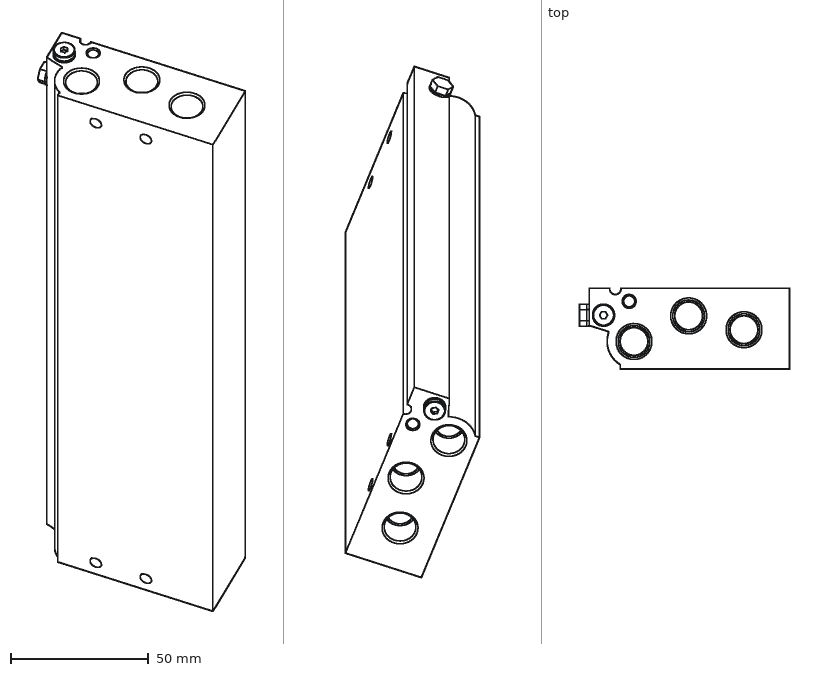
import cadquery as cq
import math

TOTAL_HEIGHT = 251.3

HOUSING_LENGTH = 73.0
HOUSING_DEPTH = 29.5
HOUSING_HEIGHT = 246.0
HALF_HEIGHT = HOUSING_HEIGHT / 2
LEFT_FACE_FRONT_Y = 15.8
FLANK_END_Y = 13.5
FRONT_STEP_X = 11.3

PORT_CENTRES = [(16.3, 10.0), (36.2, 19.4), (56.3, 14.3)]
PORT_DIAMETER = 10.0
PORT_BORE_DIAMETER = 11.5
PORT_MOUTH_DIAMETER = 13.0
PORT_BORE_DEPTH = 12.5

NOSE_X, NOSE_Y = PORT_CENTRES[0]
NOSE_RADIUS = 9.8

SIDE_CHANNEL_CENTRE = (14.5, 24.6)
SIDE_CHANNEL_DIAMETER = 4.0
SIDE_CHANNEL_MOUTH_DIAMETER = 5.0

GROOVE_X = 9.5
GROOVE_DIAMETER = 4.0
GROOVE_DEPTH = 2.3

MOUNT_X_POSITIONS = [26.5, 46.2]
MOUNT_DIAMETER = 4.5
MOUNT_TOP_DISTANCE = 8.3
MOUNT_BOTTOM_DISTANCE = 6.0

COLLAR_DIAMETER = 8.0
COLLAR_HEIGHT = 0.8

END_PLUG_CENTRE = (5.3, 19.5)
END_PLUG_HEIGHT = (TOTAL_HEIGHT - HOUSING_HEIGHT) / 2
END_PLUG_HEAD_DIAMETER = 7.8
END_PLUG_CHAMFER = 0.3
SOCKET_ACROSS_FLATS = 2.5
SOCKET_DEPTH = 1.5

SIDE_PLUG_ACROSS_FLATS = 7.0
SIDE_PLUG_HEIGHT = 3.5
SIDE_PLUG_TOP_DISTANCE = 12.8


def across_corners(across_flats):
    """Corner-to-corner size of a regular hexagon."""
    return across_flats / math.cos(math.pi / 6)


def make_block():
    """Housing profile extruded along Z."""
    flank_end_x = NOSE_X - math.sqrt(NOSE_RADIUS**2 - (FLANK_END_Y - NOSE_Y) ** 2)
    step_y = NOSE_Y - math.sqrt(NOSE_RADIUS**2 - (FRONT_STEP_X - NOSE_X) ** 2)
    return (
        cq.Workplane("XY", origin=(0, 0, -HALF_HEIGHT))
        .moveTo(0, HOUSING_DEPTH)
        .lineTo(0, LEFT_FACE_FRONT_Y)
        .lineTo(flank_end_x, FLANK_END_Y)
        .threePointArc((NOSE_X - NOSE_RADIUS, NOSE_Y), (FRONT_STEP_X, step_y))
        .lineTo(FRONT_STEP_X, 0)
        .lineTo(HOUSING_LENGTH, 0)
        .lineTo(HOUSING_LENGTH, HOUSING_DEPTH)
        .close()
        .extrude(HOUSING_HEIGHT)
    )


def vertical_cylinder(centre, diameter):
    """Cylinder over the full housing height."""
    origin = (*centre, -HALF_HEIGHT)
    return cq.Workplane("XY", origin=origin).circle(diameter / 2).extrude(HOUSING_HEIGHT)


def mouth_pair(centre, diameter, mouth_diameter, depth):
    """Bores of the given depth at both ends of the housing, with 45-degree mouths."""
    radius = diameter / 2
    mouth_radius = mouth_diameter / 2
    chamfer = mouth_radius - radius
    top = (
        cq.Workplane("XZ")
        .moveTo(0, HALF_HEIGHT)
        .lineTo(mouth_radius, HALF_HEIGHT)
        .lineTo(radius, HALF_HEIGHT - chamfer)
        .lineTo(radius, HALF_HEIGHT - depth)
        .lineTo(0, HALF_HEIGHT - depth)
        .close()
        .revolve(360, (0, 0), (0, 1))
        .translate((*centre, 0))
    )
    return top.union(top.mirror("XY"))


def make_mount_holes():
    """Two holes near each end, running along Y."""
    heights = [HALF_HEIGHT - MOUNT_TOP_DISTANCE, MOUNT_BOTTOM_DISTANCE - HALF_HEIGHT]
    points = [(x, z) for x in MOUNT_X_POSITIONS for z in heights]
    return cq.Workplane("XZ").pushPoints(points).circle(MOUNT_DIAMETER / 2).extrude(-HOUSING_DEPTH)


def make_housing():
    housing = make_block()
    for centre in PORT_CENTRES:
        housing = housing.cut(vertical_cylinder(centre, PORT_DIAMETER))
        housing = housing.cut(
            mouth_pair(centre, PORT_BORE_DIAMETER, PORT_MOUTH_DIAMETER, PORT_BORE_DEPTH)
        )
    housing = housing.cut(
        mouth_pair(SIDE_CHANNEL_CENTRE, SIDE_CHANNEL_DIAMETER, SIDE_CHANNEL_MOUTH_DIAMETER, HALF_HEIGHT)
    )
    groove_centre = (GROOVE_X, HOUSING_DEPTH - GROOVE_DEPTH + GROOVE_DIAMETER / 2)
    housing = housing.cut(vertical_cylinder(groove_centre, GROOVE_DIAMETER))
    return housing.cut(make_mount_holes())


def make_end_plug(end):
    """Socket plug standing on the top face (end = 1) or hanging from the bottom face (end = -1)."""
    plug = (
        cq.Workplane("XY", origin=(*END_PLUG_CENTRE, HALF_HEIGHT))
        .circle(COLLAR_DIAMETER / 2)
        .extrude(COLLAR_HEIGHT)
        .faces(">Z")
        .workplane()
        .circle(END_PLUG_HEAD_DIAMETER / 2)
        .extrude(END_PLUG_HEIGHT - COLLAR_HEIGHT)
        .faces(">Z")
        .chamfer(END_PLUG_CHAMFER)
        .faces(">Z")
        .workplane()
        .polygon(6, across_corners(SOCKET_ACROSS_FLATS))
        .cutBlind(-SOCKET_DEPTH)
    )
    return plug if end > 0 else plug.mirror("XY")


def make_side_plug():
    """Hexagon plug standing on the left face, pointing along -X, with corners along Y."""
    base = cq.Workplane("YZ", origin=(0, END_PLUG_CENTRE[1], HALF_HEIGHT - SIDE_PLUG_TOP_DISTANCE))
    collar = base.circle(COLLAR_DIAMETER / 2).extrude(-COLLAR_HEIGHT)
    head = base.polygon(6, across_corners(SIDE_PLUG_ACROSS_FLATS)).extrude(-SIDE_PLUG_HEIGHT)
    return collar.union(head)


housing = make_housing()
end_plugs = [make_end_plug(end) for end in (1, -1)]
side_plug = make_side_plug()

result = cq.Compound.makeCompound([housing.val(), *[plug.val() for plug in end_plugs], side_plug.val()])